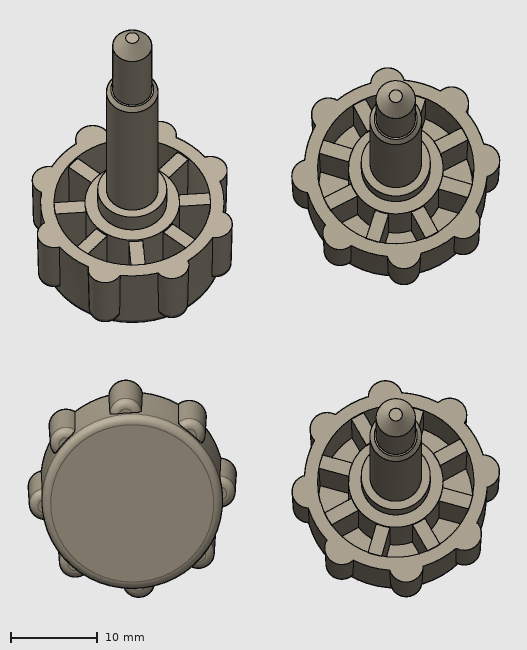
import cadquery as cq
import math

total_height = 42.0
knob_height = 10.0

draft_angle = 1.0
rim_radius = 10.6
edge_round = 1.0
lobe_count = 8
lobe_radius = 1.97
lobe_circle_radius = 10.1
lobe_bottom = 1.5

cavity_radius = 9.05
floor_thickness = 1.5
hub_radius = 5.45
web_count = 8
web_width = 1.65
web_drop = 0.3

collar_radius = 4.0
collar_height = 2.48
shaft_radius = 3.0
shaft_chamfer = 0.5
tip_radius = 2.25
tip_length = 10.0
tip_flat_radius = 0.75
tip_cone_height = tip_radius - tip_flat_radius


def drafted_post(top_radius, height):
    """Round post below the knob top, narrowing downwards by the draft angle."""
    bottom_radius = top_radius - height * math.tan(math.radians(draft_angle))
    post = cq.Solid.makeCone(bottom_radius, top_radius, height)
    return cq.Workplane(post).translate((0, 0, knob_height - height))


def make_grip_lobe(index):
    lobe = drafted_post(lobe_radius, knob_height - lobe_bottom).faces("<Z").edges().fillet(edge_round)
    angle = (index + 0.5) * 360 / lobe_count
    return lobe.translate((lobe_circle_radius, 0, 0)).rotate((0, 0, 0), (0, 0, 1), angle)


def make_web(index):
    """Radial web running from inside the hub to halfway through the rim wall."""
    web_length = (cavity_radius + rim_radius) / 2
    web_height = knob_height - web_drop - floor_thickness
    web = (
        cq.Workplane("XY", origin=(0, 0, floor_thickness))
        .box(web_length, web_width, web_height, centered=(False, True, False))
    )
    return web.rotate((0, 0, 0), (0, 0, 1), index * 360 / web_count)


def make_knob():
    knob = drafted_post(rim_radius, knob_height).faces("<Z").edges().fillet(edge_round)
    for index in range(lobe_count):
        knob = knob.union(make_grip_lobe(index))

    cavity_depth = knob_height - floor_thickness
    knob = knob.cut(drafted_post(cavity_radius, cavity_depth))
    hub = cq.Workplane("XY").circle(hub_radius).extrude(cavity_depth)
    knob = knob.union(hub.translate((0, 0, floor_thickness)))
    for index in range(web_count):
        knob = knob.union(make_web(index))
    return knob


def make_spindle():
    """Turned spindle whose collar stands on the knob hub."""
    collar_top = knob_height + collar_height
    shoulder = total_height - tip_length
    profile = (
        cq.Workplane("XZ")
        .moveTo(0, knob_height)
        .lineTo(collar_radius, knob_height)
        .lineTo(collar_radius, collar_top)
        .lineTo(shaft_radius, collar_top)
        .lineTo(shaft_radius, shoulder - shaft_chamfer)
        .lineTo(shaft_radius - shaft_chamfer, shoulder)
        .lineTo(tip_radius, shoulder)
        .lineTo(tip_radius, total_height - tip_cone_height)
        .lineTo(tip_flat_radius, total_height)
        .lineTo(0, total_height)
        .close()
    )
    return profile.revolve(360, (0, 0, 0), (0, 1, 0))


knob = make_knob()
spindle = make_spindle()
result = cq.Compound.makeCompound([knob.solids().val(), spindle.val()])